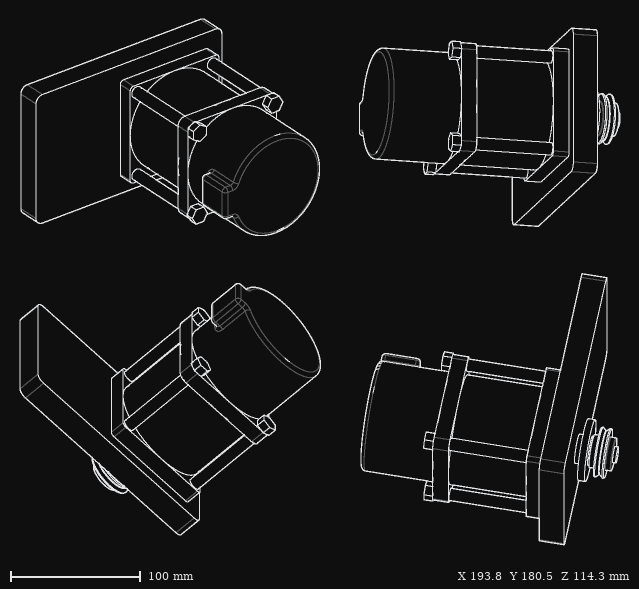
import cadquery as cq


hub_start = 2.5
rim_start = 7.2
rim_end = 15.1
hub_end = 20.0
washer_start = 21.1
washer_end = 26.5
plate_front = 31.4
plate_back = 50.8
front_flange_end = 63.4
rear_flange_start = 124.5
rear_flange_end = 136.8
nut_end = 143.8
motor_end = 193.8

shaft_radius = 6.4
boss_radius = 11.5
washer_radius = 24.2
hub_radius = 13.0
hub_round = 0.48
rim_radius = 19.5
lip_drop = 0.4
groove_depth = 2.3
groove_width = 5.8
groove_floor_width = 0.5

plate_length = 180.5
plate_height = 114.3
plate_corner = 6.2
axis_to_plate_edge = 55.6

motor_radius = 43.0
flange_width = 2 * motor_radius
front_flange_corner = 3.1
rod_offset = 36.6
rod_radius = 4.8
rear_flange_corner = motor_radius - rod_offset
nut_across_corners = 14.7

edge_round = 3.1
box_start = 163.5
box_reach = 50.8
box_height = 27.5
seam_margin = 0.02


def disc(start, end, radius):
    """Cylinder on the shaft axis between two stations."""
    return cq.Workplane("YZ").workplane(offset=start).circle(radius).extrude(end - start)


def square_flange(start, end, corner):
    """Square flange on the shaft axis with rounded corners."""
    flange = cq.Workplane("YZ").workplane(offset=start).rect(flange_width, flange_width).extrude(end - start)
    return flange.edges("|X").fillet(corner)


def make_rim():
    """Pulley rim: half profile with a V groove between two sloping lips, revolved about the shaft axis."""
    middle = (rim_start + rim_end) / 2
    groove_radius = rim_radius - groove_depth
    profile = [
        (rim_start, 0),
        (rim_start, rim_radius - lip_drop),
        (middle - groove_width / 2, rim_radius),
        (middle - groove_floor_width / 2, groove_radius),
        (middle + groove_floor_width / 2, groove_radius),
        (middle + groove_width / 2, rim_radius),
        (rim_end, rim_radius - lip_drop),
        (rim_end, 0),
    ]
    return cq.Workplane("XY").polyline(profile).close().revolve(360, (0, 0, 0), (1, 0, 0))


def make_pulley():
    """Hub and rim joined, with the hub ends and the two roots of the rim rounded."""
    pulley = disc(hub_start, hub_end, hub_radius).union(make_rim())
    hub_edges = cq.selectors.RadiusNthSelector(0)
    return pulley.edges("%CIRCLE").edges(hub_edges).fillet(hub_round)


def make_plate():
    plate_centre_y = axis_to_plate_edge - plate_length / 2
    plate = (
        cq.Workplane("YZ")
        .workplane(offset=plate_front)
        .center(plate_centre_y, 0)
        .rect(plate_length, plate_height)
        .extrude(plate_back - plate_front)
    )
    return plate.edges("|X").fillet(plate_corner)


def make_rear_housing():
    """Motor housing blended into its terminal box, with a rounded rear rim."""
    box = (
        cq.Workplane("XY")
        .box(motor_end - box_start, box_reach, box_height, centered=(False, False, True))
        .translate((box_start, -box_reach, 0))
    )
    box = box.edges("(<Y and (not >X)) or (<X and |Y)").fillet(edge_round)
    housing = disc(rear_flange_end, motor_end, motor_radius).union(box)

    seam_window = cq.selectors.BoxSelector(
        (box_start - seam_margin, -motor_radius - seam_margin, -box_height / 2 - seam_margin),
        (motor_end - seam_margin, -motor_radius / 2, box_height / 2 + seam_margin),
    )
    housing = housing.edges(seam_window).fillet(edge_round)
    return housing.faces(">X").edges().fillet(edge_round)


def make_tie_rods():
    """Four tie rods with hex nuts, repeated by quarter turns about the shaft axis."""
    rod = disc(plate_back, rear_flange_end, rod_radius)
    nut = (
        cq.Workplane("YZ")
        .workplane(offset=rear_flange_end)
        .polygon(6, nut_across_corners)
        .extrude(nut_end - rear_flange_end)
    )
    rod_and_nut = rod.union(nut).translate((0, rod_offset, rod_offset))
    return [rod_and_nut.rotate((0, 0, 0), (1, 0, 0), 90 * turn) for turn in range(4)]


parts = [
    disc(0, hub_end, shaft_radius),
    make_pulley(),
    disc(hub_end, plate_front, boss_radius),
    disc(washer_start, washer_end, washer_radius),
    make_plate(),
    square_flange(plate_back, front_flange_end, front_flange_corner),
    disc(front_flange_end, rear_flange_start, motor_radius),
    square_flange(rear_flange_start, rear_flange_end, rear_flange_corner),
    *make_tie_rods(),
]

result = make_rear_housing()
for part in parts:
    result = result.union(part)